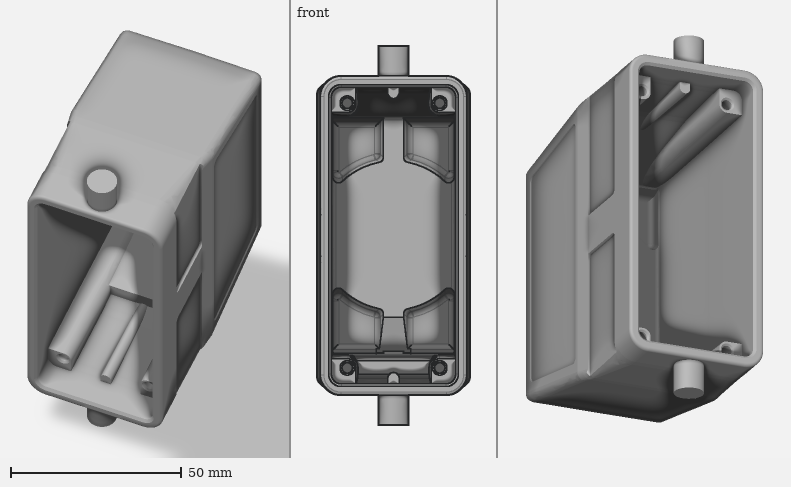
import cadquery as cq
import math

DEPTH = 76.0
PIN_SPAN = 111.3
PIN_RADIUS = 4.5
PIN_Y = 6.1

MOUTH_HALF_X = 21.5
BACK_HALF_X = 22.5
MOUTH_HALF_Z = 46.9
WAIST_HALF_Z = 44.7
BACK_HALF_Z = 36.4
MOUTH_CORNER = 6.0
BACK_CORNER = 2.6
STRAIGHT_END = 11.4
WAIST_Y = 32.3
FLARE_END = 36.3
BEND_LENGTH = 2.7
RIM_FILLET = 1.0
BACK_FILLET = 2.3
CROWN_RISE = 0.3

FLOOR_Y = 69.3
CAVITY_HALF_X = 18.3
CAVITY_FLOOR_HALF_X = 18.0
CAVITY_HALF_Z = 43.5
CAVITY_WAIST_HALF_Z = 41.7
CAVITY_FLOOR_HALF_Z = 34.8
CAVITY_CORNER = 2.9
CAVITY_FLOOR_CORNER = 1.7
FLOOR_FILLET = 1.1
MOUTH_CHAMFER = 0.8

POCKET_DEPTH = 3.9
POCKET_DRAFT = 20.0
POCKET_FILLET = 1.8
POCKET_CORNER = 1.7
POCKET_SIDE_X = 17.8
POCKET_END_Z = 34.8
PAD_RADIUS = 21.5
PAD_ARM_HALF_X = 2.6

RAMP_START_Z = 23.9
RAMP_HALF_X = 5.0

POST_FRONT_Y = 8.9
POST_X = 13.6
POST_Z = 38.8
POST_INNER_X = 11.0
POST_INNER_Z = 36.2
POST_CORNER = 2.5
POST_DRAFT = 1.2
POST_HOLE_RADIUS = 1.6
POST_SINK_RADIUS = 2.1
POST_HOLE_DEPTH = 16.7

RIB_RADIUS = 1.7
RIB_Z = 41.8
LEDGE_Y = 37.8
LEDGE_FRONT_Z = 36.7
LEDGE_BACK_Z = 35.3

GRIP_DEPTH = 0.9
GRIP_FRONT_Y = 11.4
GRIP_BACK_Y = 31.8
GRIP_INNER_Z = 6.0
GRIP_CORNER = 1.8
GRIP_DRAFT = 25.0
LABEL_DEPTH = 0.3
LABEL_FRONT_Y = 37.5
LABEL_BACK_Y = 70.8
LABEL_FRONT_HALF_Z = 38.3
LABEL_BACK_HALF_Z = 32.3
LABEL_CORNER = 2.0
LABEL_DRAFT = 45.0


def bend_ends(y):
    """Start and end of the soft bend centred on the given Y."""
    return y - BEND_LENGTH / 2, y + BEND_LENGTH / 2


def half_z_at(y, waist_half_z, back_half_z, back_y):
    """Half height of the tapered end wall behind the waist."""
    return waist_half_z + (back_half_z - waist_half_z) * (y - WAIST_Y) / (back_y - WAIST_Y)


def front_half_z_at(y, mouth_half_z, waist_half_z):
    """Half height of the end wall between the straight band and the waist."""
    return mouth_half_z + (waist_half_z - mouth_half_z) * (y - STRAIGHT_END) / (WAIST_Y - STRAIGHT_END)


def section(y, half_x, half_z, corner):
    """Rounded rectangle in the plane at the given Y, as a wire."""
    face = cq.Sketch().rect(2 * half_x, 2 * half_z).vertices().fillet(corner)
    plane = cq.Plane(origin=(0, y, 0), xDir=(1, 0, 0), normal=(0, -1, 0))
    return cq.Workplane(plane).placeSketch(face)._getFaces()[0].outerWire()


def ruled_loft(sections):
    wires = [section(*values) for values in sections]
    return cq.Workplane(cq.Solid.makeLoft(wires, True))


def xz_plane(y):
    """Workplane at the given Y whose extrusions run towards the closed end; local x is -X."""
    return cq.Workplane(cq.Plane(origin=(0, y, 0), xDir=(-1, 0, 0), normal=(0, 1, 0)))


def in_four_corners(tool):
    """The tool, placed in one corner, joined with its mirror images across X = 0 and Z = 0."""
    pair = tool.union(tool.mirror("YZ"))
    return pair.union(pair.mirror("XY"))


def make_shell():
    y1, y2 = bend_ends(STRAIGHT_END)
    y3, y4 = bend_ends(WAIST_Y)
    flared_z = half_z_at(FLARE_END, WAIST_HALF_Z, BACK_HALF_Z, DEPTH)
    y4_half_x = MOUTH_HALF_X + (BACK_HALF_X - MOUTH_HALF_X) * (y4 - y3) / (FLARE_END - y3)
    body = ruled_loft([
        (0, MOUTH_HALF_X, MOUTH_HALF_Z, MOUTH_CORNER),
        (y1, MOUTH_HALF_X, MOUTH_HALF_Z, MOUTH_CORNER),
        (y2, MOUTH_HALF_X, front_half_z_at(y2, MOUTH_HALF_Z, WAIST_HALF_Z), MOUTH_CORNER),
        (y3, MOUTH_HALF_X, front_half_z_at(y3, MOUTH_HALF_Z, WAIST_HALF_Z), BACK_CORNER),
        (y4, y4_half_x, half_z_at(y4, WAIST_HALF_Z, BACK_HALF_Z, DEPTH), BACK_CORNER),
        (FLARE_END, BACK_HALF_X, flared_z, BACK_CORNER),
        (DEPTH, BACK_HALF_X, BACK_HALF_Z, BACK_CORNER),
    ])
    crown = (
        cq.Workplane("XY")
        .moveTo(-BACK_HALF_X, 0).lineTo(-BACK_HALF_X, DEPTH - CROWN_RISE)
        .threePointArc((0, DEPTH), (BACK_HALF_X, DEPTH - CROWN_RISE)).lineTo(BACK_HALF_X, 0).close()
        .extrude(PIN_SPAN / 2, both=True)
    )
    body = body.intersect(crown)
    return body.faces(">Y").edges().fillet(BACK_FILLET).faces("<Y").edges().fillet(RIM_FILLET)


def make_pocket():
    """One floor pocket; it starts above the floor so that it also clears the floor fillet."""
    start_y = FLOOR_Y - FLOOR_FILLET
    depth = POCKET_DEPTH + FLOOR_FILLET
    growth = depth * math.tan(math.radians(POCKET_DRAFT))
    block = (
        xz_plane(start_y).center(PAD_ARM_HALF_X, 0)
        .rect(POCKET_SIDE_X + growth - PAD_ARM_HALF_X, POCKET_END_Z, centered=False)
        .extrude(depth, taper=POCKET_DRAFT)
    )
    inside = xz_plane(start_y).rect(2 * POCKET_SIDE_X, 2 * POCKET_END_Z).extrude(depth)
    pad = cq.Solid.makeCone(PAD_RADIUS, PAD_RADIUS + growth, depth,
                            cq.Vector(0, start_y, 0), cq.Vector(0, 1, 0))
    pocket = block.intersect(inside).cut(cq.Workplane(pad))
    pad_corners = cq.selectors.BoxSelector((0, 0, 0), (-2 * PAD_RADIUS, DEPTH, PAD_RADIUS + growth))
    pocket = pocket.edges("not(<Y or >Y)").edges(pad_corners).fillet(POCKET_CORNER)
    return pocket.faces(">Y").edges().fillet(POCKET_FILLET)


def make_ramp():
    end_z = LEDGE_BACK_Z
    return (
        cq.Workplane("YZ")
        .polyline([(FLOOR_Y, -RAMP_START_Z), (FLOOR_Y + POCKET_DEPTH, -end_z), (FLOOR_Y, -end_z)]).close()
        .extrude(RAMP_HALF_X, both=True)
    )


def make_post():
    """One screw post, running from its front face into the tapering end wall."""
    outline = (
        cq.Sketch()
        .push([(POST_INNER_X + CAVITY_HALF_X / 2, POST_INNER_Z + CAVITY_HALF_Z / 2)])
        .rect(CAVITY_HALF_X, CAVITY_HALF_Z).reset().vertices().fillet(POST_CORNER)
    )
    return xz_plane(POST_FRONT_Y).placeSketch(outline).extrude(FLOOR_Y - POST_FRONT_Y, taper=-POST_DRAFT)


def make_post_hole():
    sink = POST_SINK_RADIUS - POST_HOLE_RADIUS
    hole = xz_plane(POST_FRONT_Y).center(POST_X, POST_Z).circle(POST_HOLE_RADIUS).extrude(POST_HOLE_DEPTH)
    cone = cq.Solid.makeCone(POST_SINK_RADIUS, POST_HOLE_RADIUS, sink,
                             cq.Vector(-POST_X, POST_FRONT_Y, POST_Z), cq.Vector(0, 1, 0))
    return hole.union(cq.Workplane(cone))


def make_rib():
    """Round-nosed key rib against the upper end wall."""
    length = FLOOR_Y - POST_FRONT_Y
    nose = xz_plane(POST_FRONT_Y).center(0, RIB_Z).circle(RIB_RADIUS).extrude(length)
    root = (
        xz_plane(POST_FRONT_Y).center(0, RIB_Z)
        .rect(2 * RIB_RADIUS, CAVITY_HALF_Z, centered=(True, False)).extrude(length)
    )
    return nose.union(root)


def make_ledge():
    return (
        cq.Workplane("YZ")
        .polyline([(LEDGE_Y, -LEDGE_FRONT_Z), (FLOOR_Y, -LEDGE_BACK_Z),
                   (FLOOR_Y, -CAVITY_HALF_Z), (LEDGE_Y, -CAVITY_HALF_Z)]).close()
        .extrude(POST_X, both=True)
    )


def make_cavity():
    y1, y2 = bend_ends(STRAIGHT_END)
    y3, y4 = bend_ends(WAIST_Y)
    y4_half_z = half_z_at(y4, CAVITY_WAIST_HALF_Z, CAVITY_FLOOR_HALF_Z, FLOOR_Y)
    cavity = ruled_loft([
        (0, CAVITY_HALF_X, CAVITY_HALF_Z, CAVITY_CORNER),
        (y1, CAVITY_HALF_X, CAVITY_HALF_Z, CAVITY_CORNER),
        (y2, CAVITY_HALF_X, front_half_z_at(y2, CAVITY_HALF_Z, CAVITY_WAIST_HALF_Z), CAVITY_CORNER),
        (y3, CAVITY_HALF_X, front_half_z_at(y3, CAVITY_HALF_Z, CAVITY_WAIST_HALF_Z), CAVITY_FLOOR_CORNER),
        (y4, CAVITY_HALF_X, y4_half_z, CAVITY_FLOOR_CORNER),
        (FLOOR_Y, CAVITY_FLOOR_HALF_X, CAVITY_FLOOR_HALF_Z, CAVITY_FLOOR_CORNER),
    ])
    cavity = cavity.faces(">Y").edges().fillet(FLOOR_FILLET)
    mouth = ruled_loft([
        (0, CAVITY_HALF_X + MOUTH_CHAMFER, CAVITY_HALF_Z + MOUTH_CHAMFER, CAVITY_CORNER + MOUTH_CHAMFER),
        (MOUTH_CHAMFER, CAVITY_HALF_X, CAVITY_HALF_Z, CAVITY_CORNER),
    ])
    rib = make_rib()
    cavity = cavity.union(mouth).cut(make_ledge()).cut(rib).cut(rib.mirror("XY"))
    cavity = cavity.cut(in_four_corners(make_post()))
    return cavity.union(in_four_corners(make_pocket())).union(make_ramp())


def make_grip():
    """Shallow side recess that runs out over the rounded corner of the shell."""
    length = GRIP_BACK_Y - GRIP_FRONT_Y
    outline = (
        cq.Sketch()
        .push([(GRIP_FRONT_Y + length / 2, GRIP_INNER_Z + MOUTH_HALF_Z / 2)])
        .rect(length, MOUTH_HALF_Z).reset().vertices().fillet(GRIP_CORNER)
    )
    return cut_from_side(outline, MOUTH_HALF_X, GRIP_DEPTH, GRIP_DRAFT)


def make_label_recess():
    outline = (
        cq.Sketch()
        .polygon([(LABEL_FRONT_Y, LABEL_FRONT_HALF_Z), (LABEL_BACK_Y, LABEL_BACK_HALF_Z),
                  (LABEL_BACK_Y, -LABEL_BACK_HALF_Z), (LABEL_FRONT_Y, -LABEL_FRONT_HALF_Z),
                  (LABEL_FRONT_Y, LABEL_FRONT_HALF_Z)])
        .vertices().fillet(LABEL_CORNER)
    )
    recess = cut_from_side(outline, BACK_HALF_X, LABEL_DEPTH, LABEL_DRAFT)
    return recess.union(recess.mirror("YZ"))


def cut_from_side(outline, half_x, depth, draft):
    """Recess tool sunk into the -X side; the outline is given as (Y, Z)."""
    side = cq.Plane(origin=(-half_x, 0, 0), xDir=(0, 1, 0), normal=(1, 0, 0))
    return cq.Workplane(side).placeSketch(outline).extrude(depth, taper=draft)


def make_pins():
    """Locking pins standing out of both end walls."""
    overlap = (MOUTH_HALF_Z + CAVITY_HALF_Z) / 2
    pin = cq.Workplane("XY", origin=(0, PIN_Y, overlap)).circle(PIN_RADIUS).extrude(PIN_SPAN / 2 - overlap)
    return pin.union(pin.mirror("XY"))


shell = make_shell().cut(make_cavity()).cut(in_four_corners(make_post_hole()))
shell = shell.cut(in_four_corners(make_grip())).cut(make_label_recess())
result = shell.union(make_pins())